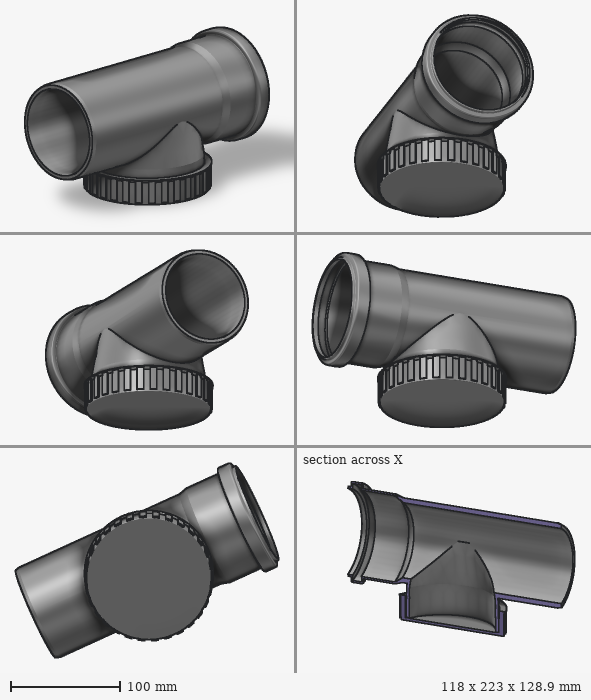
import cadquery as cq
import math

spigot_end_y = -114.0
socket_end_y = 109.0
pipe_radius = 90.5 / 2
pipe_bore_radius = 81.2 / 2
spigot_taper_length = 4.0
spigot_taper_angle = 15.0

socket_radius = 95.0 / 2
socket_bore_radius = 90.8 / 2
flare_length = 8.0
flare_start_y = 52.0
flare_end_y = flare_start_y + flare_length
bead_radius = 104.5 / 2
bead_groove_radius = 100.3 / 2
bead_width = 13.1
rim_length = 3.0
rim_fillet = 0.7
bead_front_y = socket_end_y - rim_length
bead_back_y = bead_front_y - bead_width
bead_fillet = 2.0
bead_root_fillet = 0.7
bead_wall = bead_radius - bead_groove_radius

cap_bottom_z = -76.6
cap_top_z = -52.4
cap_floor = 3.0
cap_radius = 114.0 / 2
cap_flange_radius = 118.0 / 2
cap_mouth_radius = 105.0 / 2
cap_flange_thickness = 0.5
cap_flange_cone_height = 2.3
cap_bottom_fillet = 0.7
rib_count = 30
rib_radius = 116.6 / 2
rib_bottom_z = cap_bottom_z + 2.0
rib_pitch = 360.0 / rib_count
rib_angle = rib_pitch / 2
rib_phase = 7.5

branch_end_z = cap_bottom_z + cap_floor
branch_neck_z = -44.2
branch_neck_radius = 103.77 / 2
branch_radius = 104.5 / 2
branch_cone_angle = 9.8
branch_bore_radius = 98.0 / 2
branch_wall = branch_radius - branch_bore_radius
branch_top_radius = branch_neck_radius + branch_neck_z * math.tan(math.radians(branch_cone_angle))


def revolve_about_y(profile):
    """Revolve an XY-plane profile about the Y axis."""
    return profile.close().revolve(360, (0, 0, 0), (0, 1, 0))


def revolve_about_z(profile):
    """Revolve an XZ-plane profile about the Z axis (the plane's local Y)."""
    return profile.close().revolve(360, (0, 0, 0), (0, 1, 0))


def pipe_outside():
    spigot_end_radius = pipe_radius - spigot_taper_length * math.tan(math.radians(spigot_taper_angle))
    return revolve_about_y(
        cq.Workplane("XY")
        .moveTo(0, spigot_end_y)
        .lineTo(spigot_end_radius, spigot_end_y)
        .lineTo(pipe_radius, spigot_end_y + spigot_taper_length)
        .lineTo(pipe_radius, flare_start_y)
        .lineTo(socket_radius, flare_end_y)
        .lineTo(socket_radius, bead_back_y - bead_root_fillet)
        .radiusArc((socket_radius + bead_root_fillet, bead_back_y), bead_root_fillet)
        .lineTo(bead_radius - bead_fillet, bead_back_y)
        .radiusArc((bead_radius, bead_back_y + bead_fillet), -bead_fillet)
        .lineTo(bead_radius, bead_front_y - bead_fillet)
        .radiusArc((bead_radius - bead_fillet, bead_front_y), -bead_fillet)
        .lineTo(socket_radius + bead_root_fillet, bead_front_y)
        .radiusArc((socket_radius, bead_front_y + bead_root_fillet), bead_root_fillet)
        .lineTo(socket_radius, socket_end_y - rim_fillet)
        .radiusArc((socket_radius - rim_fillet, socket_end_y), -rim_fillet)
        .lineTo(0, socket_end_y)
    )


def pipe_inside():
    return revolve_about_y(
        cq.Workplane("XY")
        .moveTo(0, spigot_end_y)
        .lineTo(pipe_bore_radius, spigot_end_y)
        .lineTo(pipe_bore_radius, flare_start_y)
        .lineTo(socket_bore_radius, flare_end_y)
        .lineTo(socket_bore_radius, bead_back_y + bead_wall)
        .lineTo(bead_groove_radius, bead_back_y + bead_wall)
        .lineTo(bead_groove_radius, bead_front_y - bead_wall)
        .lineTo(socket_bore_radius, bead_front_y - bead_wall)
        .lineTo(socket_bore_radius, socket_end_y)
        .lineTo(0, socket_end_y)
    )


def branch_solid(inset):
    """Branch shape from the pipe axis down to its open end, with every radius reduced by inset."""
    return revolve_about_z(
        cq.Workplane("XZ")
        .moveTo(0, 0)
        .lineTo(branch_top_radius - inset, 0)
        .lineTo(branch_neck_radius - inset, branch_neck_z)
        .lineTo(branch_radius - inset, branch_end_z)
        .lineTo(0, branch_end_z)
    )


def make_tee():
    outside = pipe_outside().union(branch_solid(0))
    return outside.cut(pipe_inside()).cut(branch_solid(branch_wall)).solids()


def cap_body():
    flange_bottom_z = cap_top_z - cap_flange_thickness
    return revolve_about_z(
        cq.Workplane("XZ")
        .moveTo(0, cap_bottom_z)
        .lineTo(cap_radius - cap_bottom_fillet, cap_bottom_z)
        .radiusArc((cap_radius, cap_bottom_z + cap_bottom_fillet), -cap_bottom_fillet)
        .lineTo(cap_radius, flange_bottom_z - cap_flange_cone_height)
        .lineTo(cap_flange_radius, flange_bottom_z)
        .lineTo(cap_flange_radius, cap_top_z)
        .lineTo(cap_mouth_radius, cap_top_z)
        .lineTo(cap_mouth_radius, cap_bottom_z + cap_floor)
        .lineTo(0, cap_bottom_z + cap_floor)
    )


def grip_rib(angle):
    """One grip rib, a ring sector starting inside the cap wall and centred on the given angle."""
    inner_radius = (cap_mouth_radius + cap_radius) / 2
    rib_top_z = cap_top_z - cap_flange_thickness / 2
    return (
        cq.Workplane("XZ")
        .moveTo(inner_radius, rib_bottom_z)
        .lineTo(rib_radius, rib_bottom_z)
        .lineTo(rib_radius, rib_top_z)
        .lineTo(inner_radius, rib_top_z)
        .close()
        .revolve(rib_angle, (0, 0, 0), (0, 1, 0))
        .rotate((0, 0, 0), (0, 0, 1), angle - rib_angle / 2)
    )


def make_cap():
    ribs = [grip_rib(rib_phase + index * rib_pitch).val() for index in range(rib_count)]
    return cap_body().union(cq.Workplane(cq.Compound.makeCompound(ribs))).solids()


tee = make_tee()
cap = make_cap()
result = cq.Compound.makeCompound([tee.val(), cap.val()])